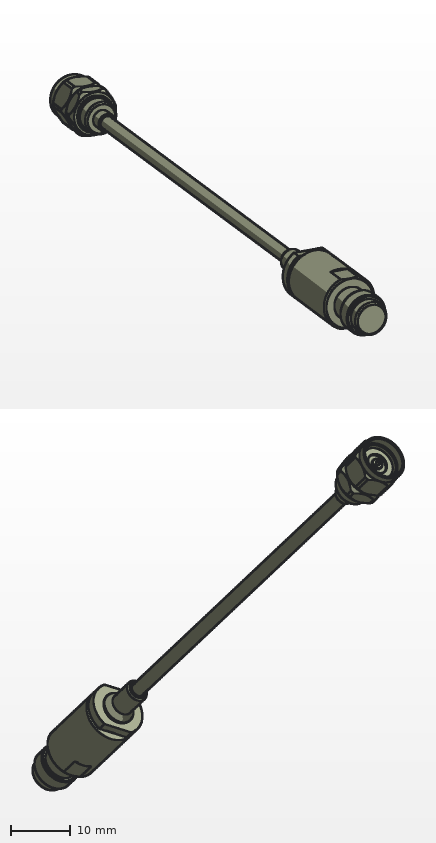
import cadquery as cq
import math


TOTAL_LENGTH = 113.5
EDGE_CHAMFER = 0.3
WRENCH_SIZE = 8.0

CABLE_RADIUS = 1.19
CABLE_START = 13.5
CABLE_END = 82.7

NUT_LENGTH = 8.9
NUT_RADIUS = 4.4
NUT_RIM_RADIUS = WRENCH_SIZE / 2
NUT_RIM_LENGTH = 1.4
NUT_GROOVE_X = 6.0
NUT_GROOVE_RADIUS = 3.9
NUT_BEVEL_LENGTH = 0.8
NUT_FRONT_BEVEL = 0.6
NUT_BORE_RADIUS = 3.3
NUT_MOUTH_RADIUS = 3.6
NUT_MOUTH_DEPTH = 1.6
NUT_BORE_DEPTH = 4.5

SLEEVE_OUTER_RADIUS = 3.0
SLEEVE_INNER_RADIUS = 1.8
SLEEVE_FRONT = 2.0
INSULATOR_FRONT = 2.5
PIN_RADIUS = 0.9
PIN_TIP_RADIUS = 0.3
PIN_FRONT = 1.4
PIN_STEP = 2.0

PLUG_SHOULDER_RADIUS = 3.3
PLUG_SHOULDER_END = 9.2
PLUG_COLLAR_RADIUS = 3.0
PLUG_COLLAR_END = 11.5
PLUG_FERRULE_RADIUS = 1.6

JACK_FERRULE_RADIUS = 1.9
JACK_CONE_START = 88.0
JACK_CONE_RADIUS = 2.8
JACK_CONE_END = 89.1
FLANGE_START = 89.4
FLANGE_END = 91.1
NECK_RADIUS = 3.4

BARREL_RADIUS = 4.8
BARREL_START = 91.8
BARREL_END = 105.3
FLAT_START = 101.2
FLAT_HALF_WIDTH = 1.6

MATING_RADIUS = 3.0
RING_RADIUS = 3.6
RING_START = 108.7
RING_END = 111.6
RING_CHAMFER = 0.2


def turned(profile):
    """Revolve a closed outline of (x, radius) points about the X axis."""
    return cq.Workplane("XZ").polyline(profile).close().revolve(360, (0, 0, 0), (1, 0, 0))


def hex_prism(start, end):
    """Hexagonal bar along X, with corners at +Y and -Y and flats at +Z and -Z."""
    across_corners = WRENCH_SIZE / math.cos(math.pi / 6)
    return cq.Workplane("YZ", origin=(start, 0, 0)).polygon(6, across_corners).extrude(end - start)


def make_plug():
    """Plug with a hexagonal coupling nut, a centre pin, and a rear body with its ferrule."""
    nut_blank = turned([
        (0, 0),
        (0, NUT_RIM_RADIUS),
        (NUT_RIM_LENGTH, NUT_RIM_RADIUS),
        (NUT_RIM_LENGTH + NUT_FRONT_BEVEL, NUT_RADIUS),
        (NUT_GROOVE_X - NUT_BEVEL_LENGTH, NUT_RADIUS),
        (NUT_GROOVE_X, NUT_GROOVE_RADIUS),
        (NUT_GROOVE_X + NUT_BEVEL_LENGTH, NUT_RADIUS),
        (NUT_LENGTH - NUT_BEVEL_LENGTH, NUT_RADIUS),
        (NUT_LENGTH, NUT_GROOVE_RADIUS),
        (NUT_LENGTH, 0),
    ])
    nut = nut_blank.intersect(hex_prism(0, NUT_LENGTH))

    bore = turned([
        (0, 0),
        (0, NUT_MOUTH_RADIUS),
        (NUT_MOUTH_DEPTH, NUT_MOUTH_RADIUS),
        (NUT_MOUTH_DEPTH, NUT_BORE_RADIUS),
        (NUT_BORE_DEPTH, NUT_BORE_RADIUS),
        (NUT_BORE_DEPTH, 0),
    ])
    contacts = turned([
        (PIN_FRONT, 0),
        (PIN_FRONT, PIN_TIP_RADIUS),
        (PIN_STEP, PIN_TIP_RADIUS),
        (PIN_STEP, PIN_RADIUS),
        (INSULATOR_FRONT, PIN_RADIUS),
        (INSULATOR_FRONT, SLEEVE_INNER_RADIUS),
        (SLEEVE_FRONT, SLEEVE_INNER_RADIUS),
        (SLEEVE_FRONT, SLEEVE_OUTER_RADIUS),
        (NUT_BORE_DEPTH, SLEEVE_OUTER_RADIUS),
        (NUT_BORE_DEPTH, 0),
    ])
    rear_body = turned([
        (NUT_LENGTH, 0),
        (NUT_LENGTH, PLUG_SHOULDER_RADIUS),
        (PLUG_SHOULDER_END, PLUG_SHOULDER_RADIUS),
        (PLUG_SHOULDER_END, PLUG_COLLAR_RADIUS),
        (PLUG_COLLAR_END - EDGE_CHAMFER, PLUG_COLLAR_RADIUS),
        (PLUG_COLLAR_END, PLUG_COLLAR_RADIUS - EDGE_CHAMFER),
        (PLUG_COLLAR_END, PLUG_FERRULE_RADIUS),
        (CABLE_START, PLUG_FERRULE_RADIUS),
        (CABLE_START, 0),
    ])
    return nut.cut(bore).union(contacts).union(rear_body)


def make_cable():
    """Plain round cable that butts against both ferrules."""
    length = CABLE_END - CABLE_START
    return cq.Workplane("YZ", origin=(CABLE_START, 0, 0)).circle(CABLE_RADIUS).extrude(length)


def make_wrench_flats():
    """Pair of cutters that level the barrel above and below, open at the barrel's rear face."""
    flat_height = math.sqrt(BARREL_RADIUS**2 - FLAT_HALF_WIDTH**2)
    cut_depth = BARREL_RADIUS - flat_height
    upper = cq.Workplane("XY").box(
        BARREL_END - FLAT_START, 2 * FLAT_HALF_WIDTH, cut_depth, centered=(False, True, False)
    ).translate((FLAT_START, 0, flat_height))
    return upper.union(upper.mirror("XY"))


def make_flange():
    """Disc as wide as the barrel, with wrench flats above and below."""
    flange_length = FLANGE_END - FLANGE_START
    front_plane = cq.Workplane("YZ", origin=(FLANGE_START, 0, 0))
    disc = front_plane.circle(BARREL_RADIUS).extrude(flange_length)
    bar = front_plane.rect(2 * BARREL_RADIUS, WRENCH_SIZE).extrude(flange_length)
    return disc.intersect(bar)


def make_jack():
    """Jack with a ferrule, a two-flat flange, a barrel with wrench flats and a ringed mating end."""
    body = turned([
        (CABLE_END, 0),
        (CABLE_END, JACK_FERRULE_RADIUS - EDGE_CHAMFER),
        (CABLE_END + EDGE_CHAMFER, JACK_FERRULE_RADIUS),
        (JACK_CONE_START, JACK_FERRULE_RADIUS),
        (JACK_CONE_END, JACK_CONE_RADIUS),
        (FLANGE_START, JACK_CONE_RADIUS),
        (FLANGE_START, NECK_RADIUS),
        (BARREL_START, NECK_RADIUS),
        (BARREL_START, BARREL_RADIUS),
        (BARREL_END - EDGE_CHAMFER, BARREL_RADIUS),
        (BARREL_END, BARREL_RADIUS - EDGE_CHAMFER),
        (BARREL_END, MATING_RADIUS),
        (RING_START, MATING_RADIUS),
        (RING_START, RING_RADIUS - RING_CHAMFER),
        (RING_START + RING_CHAMFER, RING_RADIUS),
        (RING_END - RING_CHAMFER, RING_RADIUS),
        (RING_END, RING_RADIUS - RING_CHAMFER),
        (RING_END, MATING_RADIUS),
        (TOTAL_LENGTH - EDGE_CHAMFER, MATING_RADIUS),
        (TOTAL_LENGTH, MATING_RADIUS - EDGE_CHAMFER),
        (TOTAL_LENGTH, 0),
    ])
    return body.union(make_flange()).cut(make_wrench_flats())


plug = make_plug()
cable = make_cable()
jack = make_jack()

result = cq.Compound.makeCompound([plug.val(), cable.val(), jack.val()])